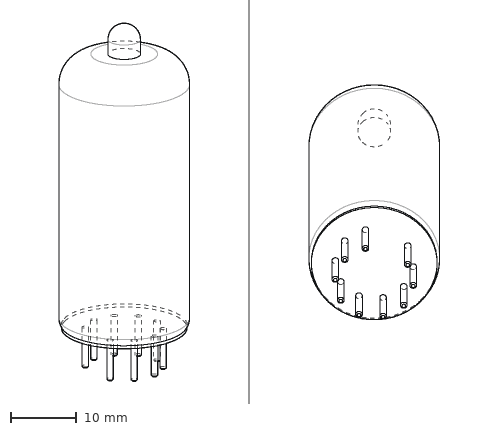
import cadquery as cq
import math

total_height = 55.65

body_radius = 20.0 / 2
envelope_top = 50.8
shoulder_radius = 4.9
lower_seam_z = 8.1

base_radius = 19.2 / 2
base_bottom = 6.5
base_top = 7.0

tip_radius = 5.0 / 2
tip_dome_z = total_height - tip_radius

pin_radius = 1.0 / 2
pin_chamfer = 0.2
pin_circle_radius = 5.95
pin_positions = 10
pin_count = pin_positions - 1
pin_spacing_angle = 360 / pin_positions
first_pin_angle = -90 + pin_spacing_angle
pin_arc_angle = pin_spacing_angle * (pin_count - 1)


def arc_point(center_r, center_z, radius, angle_deg):
    angle = math.radians(angle_deg)
    return (center_r + radius * math.cos(angle), center_z + radius * math.sin(angle))


def make_tube():
    """Revolve the base, envelope and domed tip as one profile."""
    edge_inset = body_radius - base_radius
    edge_height = lower_seam_z - base_top
    edge_radius = (edge_inset**2 + edge_height**2) / (2 * edge_inset)
    edge_sweep = math.degrees(math.asin(edge_height / edge_radius))
    shoulder_r = body_radius - shoulder_radius
    shoulder_z = envelope_top - shoulder_radius
    return (
        cq.Workplane("XZ")
        .moveTo(0, base_bottom)
        .lineTo(base_radius, base_bottom)
        .lineTo(base_radius, base_top)
        .threePointArc(
            arc_point(body_radius - edge_radius, lower_seam_z, edge_radius, -edge_sweep / 2),
            (body_radius, lower_seam_z),
        )
        .lineTo(body_radius, shoulder_z)
        .threePointArc(
            arc_point(shoulder_r, shoulder_z, shoulder_radius, 45),
            (shoulder_r, envelope_top),
        )
        .lineTo(tip_radius, envelope_top)
        .lineTo(tip_radius, tip_dome_z)
        .threePointArc(arc_point(0, tip_dome_z, tip_radius, 45), (0, total_height))
        .close()
        .revolve(360, (0, 0, 0), (0, 1, 0))
    )


def make_pins():
    """Build the ring of pins with chamfered free ends."""
    return (
        cq.Workplane("XY")
        .polarArray(pin_circle_radius, first_pin_angle, pin_arc_angle, pin_count)
        .circle(pin_radius)
        .extrude(base_top)
        .faces("<Z")
        .chamfer(pin_chamfer)
    )


result = make_tube().union(make_pins())